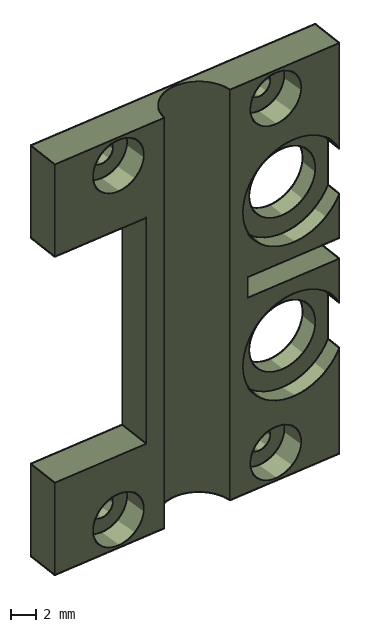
import cadquery as cq

thickness = 3.25
width = 28.0
height = 40.0
front_x = -thickness / 2
back_x = thickness / 2

cutout_depth = 9.0
slot_height = 2.0
notch_height = 22.0

screw_diameter = 2.2
screw_counterbore_diameter = 5.0
screw_counterbore_depth = 2.25
screw_spacing_y = 15.5
screw_spacing_z = 34.5
large_diameter = 6.5
large_counterbore_diameter = 10.0
large_counterbore_depth = 1.5
large_spacing_z = 15.0
large_center_y = width / 2 - cutout_depth / 2

groove_diameter = 6.5
groove_floor = 0.25
groove_center_x = front_x + groove_floor + groove_diameter / 2


def edge_cutout(side, cut_height):
    """Box reaching in from the +Y (side = 1) or -Y (side = -1) edge."""
    center_y = side * (width - cutout_depth) / 2
    return cq.Workplane("XY").box(thickness, cutout_depth, cut_height).translate((0, center_y, 0))


def back_bores(diameter, depth, centers):
    """Cylinders sunk from the back face at the given (Y, Z) centres."""
    return (
        cq.Workplane("YZ", origin=(back_x, 0, 0))
        .pushPoints(centers)
        .circle(diameter / 2)
        .extrude(-depth)
    )


screw_centers = [
    (side_y * screw_spacing_y / 2, side_z * screw_spacing_z / 2)
    for side_y in (-1, 1)
    for side_z in (-1, 1)
]
large_centers = [(large_center_y, side_z * large_spacing_z / 2) for side_z in (-1, 1)]

groove = (
    cq.Workplane("XY", origin=(groove_center_x, 0, -height / 2))
    .circle(groove_diameter / 2)
    .extrude(height)
)

result = (
    cq.Workplane("XY")
    .box(thickness, width, height)
    .cut(edge_cutout(1, slot_height))
    .cut(edge_cutout(-1, notch_height))
    .cut(back_bores(screw_diameter, thickness, screw_centers))
    .cut(back_bores(screw_counterbore_diameter, screw_counterbore_depth, screw_centers))
    .cut(back_bores(large_diameter, thickness, large_centers))
    .cut(back_bores(large_counterbore_diameter, large_counterbore_depth, large_centers))
    .cut(groove)
)